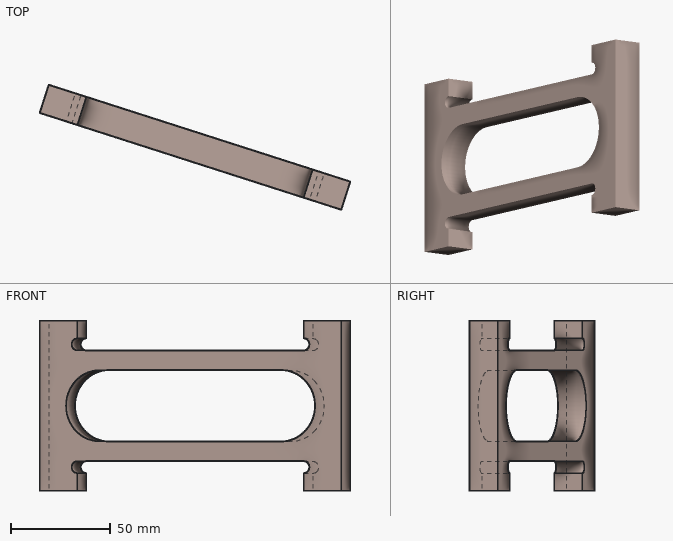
import cadquery as cq

length = 160.0
height = 86.0
thickness = 15.0
turn_angle = -17.8

head_width = 20.0
rail_height = 10.0
notch_depth = 15.0
notch_length = length - 2 * head_width

slot_height = height - 2 * (notch_depth + rail_height)
slot_end_wall = 14.0
slot_length = length - 2 * slot_end_wall

relief_diameter = 6.0
relief_height = height / 2 - notch_depth + relief_diameter / 2


def through_cutter(sketch):
    """Extrude an XZ outline through the full plate thickness."""
    return sketch.extrude(thickness / 2, both=True)


def make_plate():
    return cq.Workplane("XY").box(length, thickness, height)


def make_notches():
    centers = [(0, side * (height - notch_depth) / 2) for side in (-1, 1)]
    return through_cutter(cq.Workplane("XZ").pushPoints(centers).rect(notch_length, notch_depth))


def make_reliefs():
    outline = cq.Workplane("XZ").rect(notch_length, 2 * relief_height, forConstruction=True)
    return through_cutter(outline.vertices().circle(relief_diameter / 2))


def make_slot():
    return through_cutter(cq.Workplane("XZ").slot2D(slot_length, slot_height))


frame = make_plate().cut(make_notches()).cut(make_reliefs()).cut(make_slot())
result = frame.rotate((0, 0, 0), (0, 0, 1), turn_angle)